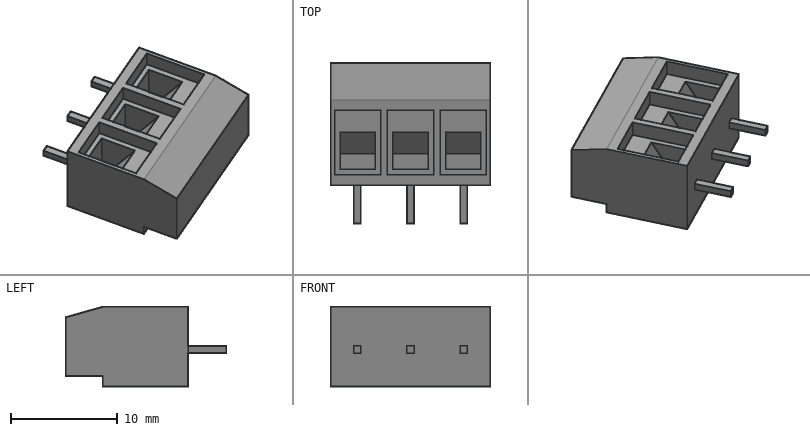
import cadquery as cq

width = 15.0
height = 7.5
total_length = 15.1
pin_length = 3.6
housing_length = total_length - pin_length

end_length = 3.47
end_drop = 0.98

pole_count = 3
pin_pitch = 5.0
pin_side = 0.7
pin_center_z = 3.49

pocket_pitch = 4.97
pocket_width = 4.33
pocket_margin = 1.0
pocket_length = housing_length - end_length - 2 * pocket_margin
pocket_depth = 1.5

funnel_pitch = 4.95
funnel_width = 3.29
funnel_start_y = 1.5
funnel_floor_length = 1.48
funnel_ramp_length = 2.02
funnel_depth = 3.1


def row_positions(pitch):
    """X positions of one row of features, centred on the housing."""
    return [(i - (pole_count - 1) / 2) * pitch for i in range(pole_count)]


def extrude_along_x(outline, length, center_x=0.0):
    """Extrude a closed (Y, Z) outline along X, centred on center_x."""
    solid = cq.Workplane("YZ").polyline(outline).close().extrude(length / 2, both=True)
    return solid.translate((center_x, 0, 0))


def make_housing():
    step_y = housing_length - end_length
    outline = [
        (0, 0),
        (step_y, 0),
        (step_y, end_drop),
        (housing_length, end_drop),
        (housing_length, height - end_drop),
        (step_y, height),
        (0, height),
    ]
    return extrude_along_x(outline, width)


def make_pin(center_x):
    pin = cq.Workplane("XY").box(pin_side, pin_length, pin_side)
    return pin.translate((center_x, -pin_length / 2, pin_center_z))


def make_pocket(center_x):
    pocket = cq.Workplane("XY").box(pocket_width, pocket_length, pocket_depth)
    center_y = pocket_margin + pocket_length / 2
    return pocket.translate((center_x, center_y, height - pocket_depth / 2))


def make_funnel(center_x):
    top_z = height - pocket_depth
    bottom_z = top_z - funnel_depth
    ramp_foot_y = funnel_start_y + funnel_floor_length
    outline = [
        (funnel_start_y, top_z),
        (funnel_start_y, bottom_z),
        (ramp_foot_y, bottom_z),
        (ramp_foot_y + funnel_ramp_length, top_z),
    ]
    return extrude_along_x(outline, funnel_width, center_x)


result = make_housing()
for x in row_positions(pocket_pitch):
    result = result.cut(make_pocket(x))
for x in row_positions(funnel_pitch):
    result = result.cut(make_funnel(x))
for x in row_positions(pin_pitch):
    result = result.union(make_pin(x))